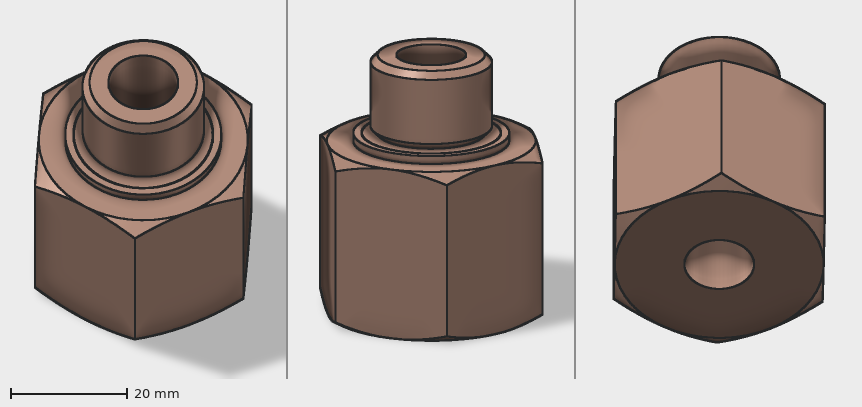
import cadquery as cq
import math

total_height = 46.0
hex_flats = 36.0
hex_height = 30.5
hex_chamfer_angle = 30.0
collar_diameter = 26.9
collar_height = 1.43
groove_outer_diameter = 24.1
groove_inner_diameter = 23.9
spigot_diameter = 20.98
spigot_chamfer = 1.25
bore_diameter = 12.0

hex_corners = hex_flats / math.cos(math.radians(30))
collar_top = hex_height + collar_height
neck_radius = spigot_diameter / 2 - spigot_chamfer


def hex_body():
    """Hexagon with corners on the Y axis, its corners turned to a cone at both ends."""
    prism = cq.Workplane("XY").polygon(6, hex_corners).extrude(hex_height)
    prism = prism.rotate((0, 0, 0), (0, 0, 1), 30)
    flat_radius = hex_flats / 2
    corner_radius = hex_corners / 2
    chamfer_height = (corner_radius - flat_radius) * math.tan(math.radians(hex_chamfer_angle))
    envelope = (
        cq.Workplane("XZ")
        .polyline([
            (0, 0),
            (flat_radius, 0),
            (corner_radius, chamfer_height),
            (corner_radius, hex_height - chamfer_height),
            (flat_radius, hex_height),
            (0, hex_height),
        ])
        .close()
        .revolve(360, (0, 0, 0), (0, 1, 0))
    )
    return prism.intersect(envelope)


def collar_and_spigot():
    """Sealing collar and the spigot, tapered to a neck and chamfered at the tip."""
    collar_radius = collar_diameter / 2
    spigot_radius = spigot_diameter / 2
    return (
        cq.Workplane("XZ")
        .polyline([
            (0, hex_height),
            (collar_radius, hex_height),
            (collar_radius, collar_top),
            (neck_radius, collar_top),
            (spigot_radius, collar_top + spigot_chamfer),
            (spigot_radius, total_height - spigot_chamfer),
            (neck_radius, total_height),
            (0, total_height),
        ])
        .close()
        .revolve(360, (0, 0, 0), (0, 1, 0))
    )


def collar_groove():
    """Hairline ring groove cut through the height of the collar, down to the hexagon's top."""
    return (
        cq.Workplane("XY")
        .workplane(offset=hex_height)
        .circle(groove_outer_diameter / 2)
        .circle(groove_inner_diameter / 2)
        .extrude(collar_height)
    )


bore = cq.Workplane("XY").circle(bore_diameter / 2).extrude(total_height)

result = hex_body().union(collar_and_spigot()).cut(collar_groove()).cut(bore)